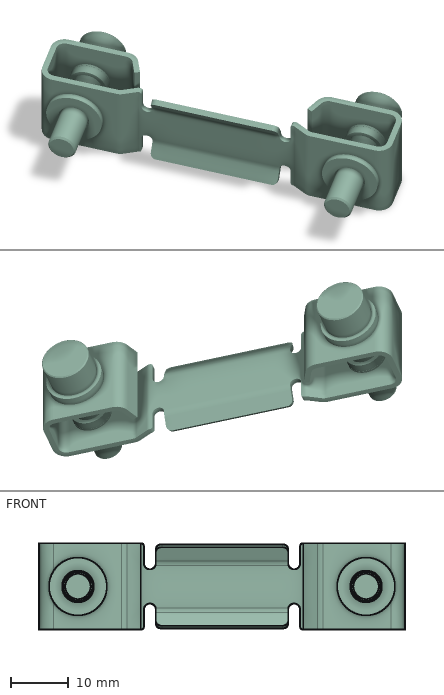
import cadquery as cq
import math

clip_length = 63.5
clip_depth = 10.05
clip_height = 15.0
sheet = 1.0

loop_inner_radius = 1.45
lip_inner_radius = 1.45
lip_angle = 66.0
lip_length = 2.6
lip_bend_start = 18.5

joggle_angle = 28.0
joggle_inner_radius = 1.0
web_setback = 1.5
web_half_length = 14.1

notch_center = 12.5
notch_width = 2.05
notch_floor = 3.0
notch_corner_radius = 0.5
flap_bend_start = 3.7
flap_inner_radius = 1.5
flap_angle = 30.0
flap_length = 2.7
flap_corner_radius = 1.0

screw_spacing = 50.0
screw_diameter = 5.0
screw_length = 20.0
screw_tip_chamfer = 0.3
head_diameter = 8.5
head_height = 5.0
head_chamfer = 0.2
bore_diameter = 5.5
flange_diameter = 10.05
flange_thickness = 1.0
washer_thickness = 0.6
barrel_diameter = 7.0
barrel_length = 2.0
collar_diameter = 7.05
collar_projection = 0.4

arm_face = clip_depth / 2
web_front = web_setback - arm_face
flap_half_length = notch_center - notch_width / 2
notch_outer_side = notch_center + notch_width / 2
head_seat = arm_face + flange_thickness + washer_thickness
both_sides = (-1, 1)


def bent_sheet(plane, start, steps, width):
    """Sheet metal strip extruded to both sides of its plane.

    `start` is the first corner on the right-hand face, heading along the plane's local X.
    Each step is ("straight", length) or ("bend", angle, inner radius); left turns are positive.
    """
    def world(x, y):
        return plane.toWorldCoords((x, y))

    def left_of(corner, heading, distance):
        return (corner[0] - distance * math.sin(heading), corner[1] + distance * math.cos(heading))

    def turned(point, center, angle):
        dx = point[0] - center[0]
        dy = point[1] - center[1]
        return (
            center[0] + dx * math.cos(angle) - dy * math.sin(angle),
            center[1] + dx * math.sin(angle) + dy * math.cos(angle),
        )

    right = start
    heading = 0.0
    left = left_of(right, heading, sheet)
    edges = [cq.Edge.makeLine(world(*left), world(*right))]

    for kind, amount, *radius in steps:
        if kind == "straight":
            step = (amount * math.cos(heading), amount * math.sin(heading))
            next_right = (right[0] + step[0], right[1] + step[1])
            next_left = (left[0] + step[0], left[1] + step[1])
            edges.append(cq.Edge.makeLine(world(*right), world(*next_right)))
            edges.append(cq.Edge.makeLine(world(*left), world(*next_left)))
        else:
            angle = math.radians(amount)
            inner_radius = radius[0]
            reach = sheet + inner_radius if amount > 0 else -inner_radius
            center = left_of(right, heading, reach)
            next_right = turned(right, center, angle)
            next_left = turned(left, center, angle)
            for corner, next_corner in ((right, next_right), (left, next_left)):
                if math.dist(corner, center) > 0:
                    middle = turned(corner, center, angle / 2)
                    edges.append(
                        cq.Edge.makeThreePointArc(world(*corner), world(*middle), world(*next_corner))
                    )
            heading += angle
        right = next_right
        left = next_left

    edges.append(cq.Edge.makeLine(world(*right), world(*left)))
    outline = cq.Wire.combine(edges)[0]
    strip = cq.Solid.extrudeLinear(outline, [], plane.zDir * width)
    return cq.Workplane(strip.translate(plane.zDir * (-width / 2)))


def half_strip():
    """Strip from the middle of the web around the +X end loop to the lip."""
    angle = math.radians(joggle_angle)
    arm_bend_radius = joggle_inner_radius + sheet
    joggle_slope = (web_setback - arm_bend_radius * (1 - math.cos(angle))) / math.sin(angle)
    front_arm_start = web_half_length + joggle_slope * math.cos(angle) + arm_bend_radius * math.sin(angle)
    loop_outer_radius = loop_inner_radius + sheet
    arm_end = clip_length / 2 - loop_outer_radius
    steps = [
        ("straight", web_half_length),
        ("bend", -joggle_angle, 0.0),
        ("straight", joggle_slope),
        ("bend", joggle_angle, joggle_inner_radius),
        ("straight", arm_end - front_arm_start),
        ("bend", 90.0, loop_inner_radius),
        ("straight", clip_depth - 2 * loop_outer_radius),
        ("bend", 90.0, loop_inner_radius),
        ("straight", arm_end - lip_bend_start),
        ("bend", lip_angle, lip_inner_radius),
        ("straight", lip_length),
    ]
    return bent_sheet(cq.Plane.XY(), (0.0, web_front), steps, clip_height)


def upper_flap():
    """Flap along the upper edge of the web, leaning to the front."""
    side_plane = cq.Plane(origin=(0, 0, 0), xDir=(0, 0, 1), normal=(-1, 0, 0))
    steps = [
        ("bend", -flap_angle, flap_inner_radius),
        ("straight", flap_length),
    ]
    flap = bent_sheet(side_plane, (flap_bend_start, web_front), steps, 2 * flap_half_length)
    lean = math.radians(flap_angle)
    across_sheet = cq.Vector(0, math.cos(lean), math.sin(lean))
    tip_corners = flap.faces("<X or >X").edges(cq.selectors.ParallelDirSelector(across_sheet))
    tip_corners = tip_corners.filter(lambda edge: edge.Center().z > flap_bend_start + flap_length / 2)
    return flap.newObject(tip_corners.vals()).fillet(flap_corner_radius)


def web_cutter():
    """Tool above the web: two notches and the room where the flap replaces the flat strip."""
    slot_length = clip_height
    slots = (
        cq.Workplane("XZ")
        .pushPoints([(side * notch_center, notch_floor + slot_length / 2) for side in both_sides])
        .slot2D(slot_length, notch_width, 90)
        .extrude(arm_face, both=True)
    )
    return slots.union(
        cq.Workplane("XY", origin=(0, 0, flap_bend_start))
        .rect(2 * flap_half_length, clip_depth)
        .extrude(clip_height)
    )


def make_clip():
    half = half_strip()
    clip = half.union(half.mirror("YZ")).clean()
    cutter = web_cutter()
    clip = clip.cut(cutter).cut(cutter.mirror("XY"))

    for side in both_sides:
        for end in both_sides:
            middle = (side * notch_outer_side, web_front + sheet / 2, end * clip_height / 2)
            clip = clip.edges(cq.selectors.NearestToPointSelector(middle)).fillet(notch_corner_radius)

    flap = upper_flap()
    clip = clip.union(flap).union(flap.mirror("XY"))

    seats = (
        cq.Workplane("XZ")
        .pushPoints([(side * screw_spacing / 2, 0) for side in both_sides])
        .circle(collar_diameter / 2)
        .extrude(clip_depth, both=True)
    )
    return clip.cut(seats)


def disc(x, y_start, y_end, diameter):
    """Cylinder along Y between two Y positions."""
    plane = cq.Workplane("XZ", origin=(x, y_start, 0))
    return plane.circle(diameter / 2).extrude(y_start - y_end)


def make_screw(x):
    shank = disc(x, head_seat - screw_length, head_seat, screw_diameter)
    shank = shank.faces("<Y").chamfer(screw_tip_chamfer)
    head = disc(x, head_seat, head_seat + head_height, head_diameter)
    head = head.faces(">Y").chamfer(head_chamfer)
    return head.union(shank)


def make_washer(x):
    seat = arm_face + flange_thickness
    washer = disc(x, seat, head_seat, flange_diameter)
    return washer.cut(disc(x, seat, head_seat, bore_diameter))


def make_rear_bushing(x):
    """Flange behind the rear arm, collar through the arm, barrel inside the loop."""
    outer_end = arm_face + flange_thickness
    inner_face = arm_face - sheet
    barrel_end = inner_face - barrel_length
    bushing = (
        disc(x, arm_face, outer_end, flange_diameter)
        .union(disc(x, inner_face - collar_projection, arm_face, collar_diameter))
        .union(disc(x, barrel_end, inner_face, barrel_diameter))
    )
    return bushing.cut(disc(x, barrel_end, outer_end, bore_diameter))


def make_front_bushing(x):
    return make_rear_bushing(x).mirror("XZ")


clip = make_clip()
bodies = [clip.val()]
for side in both_sides:
    axis_x = side * screw_spacing / 2
    bodies.append(make_screw(axis_x).val())
    bodies.append(make_washer(axis_x).val())
    bodies.append(make_rear_bushing(axis_x).val())
    bodies.append(make_front_bushing(axis_x).val())

result = cq.Compound.makeCompound(bodies)